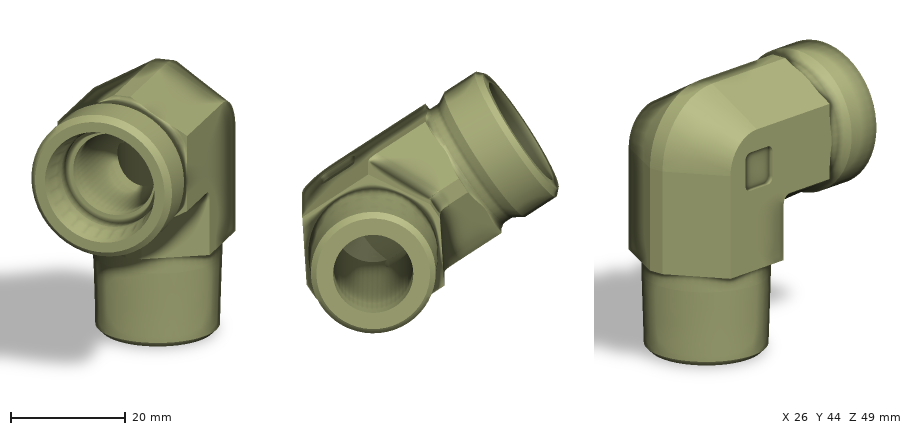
import cadquery as cq
import math


BODY_WIDTH = 24.0
BODY_HEIGHT = 26.0
LEG_LENGTH = 18.9
INNER_CORNER_FILLET = 2.0
FACE_SLOPE = math.radians(30)

STUD_RADIUS = 22.65 / 2
STUD_NECK_LENGTH = 3.15
STUD_CHAMFER = 1.0
STUD_TAPER = 1 / 16
TOTAL_HEIGHT = 49.0

OUTLET_RADIUS = 26.0 / 2
OUTLET_CHAMFER = 1.05
COLLAR_START = 23.5
GROOVE_RADIUS = 23.7 / 2
GROOVE_FILLET = 1.0
GROOVE_CONE_ANGLE = math.radians(30)
TOTAL_DEPTH = 44.0

DRILL_HALF_ANGLE = math.radians(59)
STUD_BORE_RADIUS = 14.0 / 2
STUD_BORE_TOP = 2.75
OUTLET_BORE_RADIUS = 15.0 / 2
OUTLET_BORE_BACK = 1.55
SEAT_RADIUS = 18.0 / 2
SEAT_DEPTH = 7.5
MOUTH_RADIUS = 20.3 / 2
MOUTH_CONE_ANGLE = math.radians(12)

RECESS_SIZE = 7.05
RECESS_CORNER_RADIUS = 1.22
RECESS_DEPTH = 1.0
RECESS_CENTER_Y = -0.5
RECESS_CENTER_Z = -0.45

half_width = BODY_WIDTH / 2
half_height = BODY_HEIGHT / 2
ridge_half_width = (half_width / math.cos(FACE_SLOPE) - half_height) / math.tan(FACE_SLOPE)
flat_half_height = half_height - (half_width - ridge_half_width) * math.tan(FACE_SLOPE)
stud_end = TOTAL_HEIGHT - half_height
outlet_end = TOTAL_DEPTH - half_height
groove_start = LEG_LENGTH + GROOVE_FILLET


def turn(profile):
    """Close a (radius, position) profile and turn it about its vertical axis: Y in an XY plane, Z in XZ."""
    return profile.close().revolve(360, (0, 0, 0), (0, 1, 0))


def make_body():
    upper_corners = [
        (-half_width, flat_half_height),
        (-ridge_half_width, half_height),
        (ridge_half_width, half_height),
        (half_width, flat_half_height),
    ]
    lower_corners = [(-x, -height) for x, height in upper_corners]
    section = upper_corners + lower_corners
    outlet_leg = cq.Workplane("XZ").polyline(section).close().extrude(groove_start)
    stud_leg = cq.Workplane("XY").polyline(section).close().extrude(-LEG_LENGTH)

    half_section = [(-half_width, 0)] + upper_corners + [(half_width, 0)]
    bend = cq.Workplane("XZ").polyline(half_section).close().revolve(360, (0, 0, 0), (1, 0, 0))
    body = outlet_leg.union(stud_leg).union(bend)

    margin = 0.5
    near = -flat_half_height - margin
    far = -half_height - margin
    mitre_edges = cq.selectors.BoxSelector((-half_width, far, far), (half_width, near, near))
    body = body.edges(mitre_edges).fillet(INNER_CORNER_FILLET)

    clearance_radius = BODY_WIDTH
    leg_end_fillet = (
        cq.Workplane("XY")
        .moveTo(GROOVE_RADIUS, -groove_start)
        .radiusArc((GROOVE_RADIUS + GROOVE_FILLET, -LEG_LENGTH), GROOVE_FILLET)
        .lineTo(clearance_radius, -LEG_LENGTH)
        .lineTo(clearance_radius, -groove_start)
    )
    return body.cut(turn(leg_end_fillet))


def make_stud():
    neck_end = LEG_LENGTH + STUD_NECK_LENGTH
    taper_end = stud_end - STUD_CHAMFER
    end_radius = STUD_RADIUS - (taper_end - neck_end) * STUD_TAPER / 2
    profile = cq.Workplane("XZ").polyline([
        (0, -LEG_LENGTH),
        (STUD_RADIUS, -LEG_LENGTH),
        (STUD_RADIUS, -neck_end),
        (end_radius, -taper_end),
        (end_radius - STUD_CHAMFER, -stud_end),
        (0, -stud_end),
    ])
    return turn(profile)


def make_outlet():
    cone_foot = COLLAR_START - (OUTLET_RADIUS - GROOVE_RADIUS) / math.tan(GROOVE_CONE_ANGLE)
    tangent = GROOVE_FILLET * math.tan(GROOVE_CONE_ANGLE / 2)
    blend_end = (
        GROOVE_RADIUS + tangent * math.sin(GROOVE_CONE_ANGLE),
        -cone_foot - tangent * math.cos(GROOVE_CONE_ANGLE),
    )
    profile = (
        cq.Workplane("XY")
        .moveTo(0, -LEG_LENGTH)
        .lineTo(GROOVE_RADIUS, -LEG_LENGTH)
        .lineTo(GROOVE_RADIUS, -cone_foot + tangent)
        .radiusArc(blend_end, -GROOVE_FILLET)
        .lineTo(OUTLET_RADIUS, -COLLAR_START)
        .lineTo(OUTLET_RADIUS, -outlet_end + OUTLET_CHAMFER)
        .lineTo(OUTLET_RADIUS - OUTLET_CHAMFER, -outlet_end)
        .lineTo(0, -outlet_end)
    )
    return turn(profile)


def make_stud_bore():
    point_height = STUD_BORE_RADIUS / math.tan(DRILL_HALF_ANGLE)
    profile = cq.Workplane("XZ").polyline([
        (0, -stud_end),
        (STUD_BORE_RADIUS, -stud_end),
        (STUD_BORE_RADIUS, STUD_BORE_TOP),
        (0, STUD_BORE_TOP + point_height),
    ])
    return turn(profile)


def make_outlet_bore():
    point_height = OUTLET_BORE_RADIUS / math.tan(DRILL_HALF_ANGLE)
    mouth_depth = (MOUTH_RADIUS - SEAT_RADIUS) / math.tan(MOUTH_CONE_ANGLE)
    profile = cq.Workplane("XY").polyline([
        (0, -outlet_end),
        (MOUTH_RADIUS, -outlet_end),
        (SEAT_RADIUS, -outlet_end + mouth_depth),
        (SEAT_RADIUS, -outlet_end + SEAT_DEPTH),
        (OUTLET_BORE_RADIUS, -outlet_end + SEAT_DEPTH),
        (OUTLET_BORE_RADIUS, OUTLET_BORE_BACK),
        (0, OUTLET_BORE_BACK + point_height),
    ])
    return turn(profile)


def make_recess():
    return (
        cq.Workplane("YZ", origin=(-half_width, RECESS_CENTER_Y, RECESS_CENTER_Z))
        .rect(RECESS_SIZE, RECESS_SIZE)
        .extrude(RECESS_DEPTH)
        .edges("|X")
        .fillet(RECESS_CORNER_RADIUS)
    )


result = (
    make_body()
    .union(make_stud())
    .union(make_outlet())
    .cut(make_stud_bore())
    .cut(make_outlet_bore())
    .cut(make_recess())
)